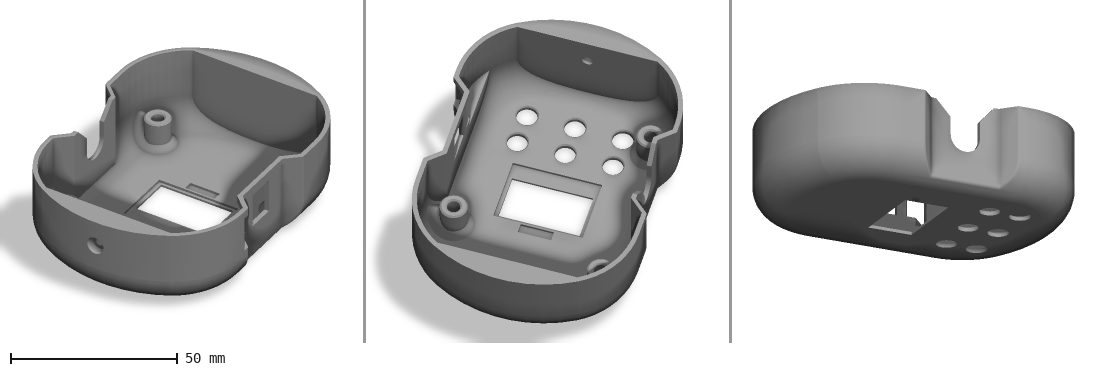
import cadquery as cq
import math

width = 70.0
length = 97.5
height = 27.0
wall = 1.5
corner_radius = 25.0
end_radius = 45.0
floor_round = 10.0

waist_y = -2.65
waist_depth = 4.7
waist_inner_half_length = 11.9
waist_flare = 4.3
waist_edge_round = 1.0
thin_waist_step = 0.5

end_wall_y = 41.3
shelf_height = 10.0

slot_width = 9.7
slot_bottom_z = 11.4
slot_mouth_z = 21.8
slot_mouth_half_width = 9.7

windows = [
    ((-8.4, 1.0), (12.4, 23.8)),
    ((-20.4, -12.1), (12.55, 24.5)),
]
window_bevel_depth = 0.85

display_x = (-12.75, 12.75)
display_y = (-5.4, 8.9)
display_recess_x = (-14.0, 14.0)
display_recess_y = (-10.4, 9.8)
ribbon_recess_x = (-5.2, 5.2)
ribbon_recess_y = (10.4, 13.4)
recess_depth = 0.8

button_pitch_x = 15.0
button_columns = 3
button_rows = [(-18.2, 6.3), (-28.2, 6.5)]
button_chamfer = 0.4

posts = [
    (-24.5, 25.7, 2.0),
    (24.5, 16.2, 2.12),
    (-24.5, -25.5, 2.0),
]
post_diameter = 8.4
post_hole_diameter = 4.0
post_root_z = 1.3
post_top_z = 11.0
post_rim_chamfer = 0.5
foot_overlap = 0.6
foot_points = 24

end_hole_z = 18.4
end_hole_diameter = 3.4
end_bore_diameter = 5.8
end_bore_depth = 3.0

half_width = width / 2
half_length = length / 2
corner_x = half_width - corner_radius
arc_join_angle = math.asin(corner_x / (end_radius - corner_radius))
end_center_y = half_length - end_radius
corner_y = end_center_y + (end_radius - corner_radius) * math.cos(arc_join_angle)
waist_outer_x = half_width - waist_depth
waist_inner_x = waist_outer_x - wall
over = 1.0
edge_margin = 0.4


def box(x_span, y_span, z_span):
    """Axis-aligned box from three (low, high) spans."""
    return cq.Workplane("XY").box(
        x_span[1] - x_span[0], y_span[1] - y_span[0], z_span[1] - z_span[0], centered=False
    ).translate((x_span[0], y_span[0], z_span[0]))


def on_arc(center_x, center_y, radius, angle):
    """Point on an arc, with the angle measured from +Y towards +X."""
    return (center_x + radius * math.sin(angle), center_y + radius * math.cos(angle))


def rounded_tub(offset, z_bottom, z_top):
    """Solid of the outline shrunk by offset, with its bottom edge rounded."""
    side = half_width - offset
    corner = corner_radius - offset
    end = end_radius - offset
    join_x, join_y = on_arc(corner_x, corner_y, corner, arc_join_angle)
    mid_x, mid_y = on_arc(corner_x, corner_y, corner, (arc_join_angle + math.pi / 2) / 2)
    tip_y = half_length - offset
    return (
        cq.Workplane("XY", origin=(0, 0, z_bottom))
        .moveTo(side, -corner_y)
        .lineTo(side, corner_y)
        .threePointArc((mid_x, mid_y), (join_x, join_y))
        .threePointArc((0, tip_y), (-join_x, join_y))
        .threePointArc((-mid_x, mid_y), (-side, corner_y))
        .lineTo(-side, -corner_y)
        .threePointArc((-mid_x, -mid_y), (-join_x, -join_y))
        .threePointArc((0, -tip_y), (join_x, -join_y))
        .threePointArc((mid_x, -mid_y), (side, -corner_y))
        .close()
        .extrude(z_top - z_bottom)
        .faces("<Z").edges().fillet(floor_round - offset)
    )


def waist_prism(side, floor_x, half_length_at_floor, trim=0.0):
    """Flared prism beyond floor_x on one side (+1 or -1), with its +Y end trimmed."""
    reach = half_width + over
    half_length_at_reach = half_length_at_floor + (reach - floor_x) * waist_flare / waist_depth
    return (
        cq.Workplane("XY", origin=(0, waist_y, -over))
        .polyline([
            (side * floor_x, -half_length_at_floor),
            (side * floor_x, half_length_at_floor - trim),
            (side * reach, half_length_at_reach - trim),
            (side * reach, -half_length_at_reach),
        ])
        .close()
        .extrude(height + 2 * over)
    )


def make_outer():
    """Outer solid with both waists cut in and their edges rounded."""
    slope = waist_flare / waist_depth
    outer_half_length = waist_inner_half_length + wall * (slope - math.hypot(1, slope))
    solid = rounded_tub(0, 0, height)
    for side in (1, -1):
        solid = solid.cut(waist_prism(side, waist_outer_x, outer_half_length))
    rim_half_length = outer_half_length + waist_flare
    for side in (1, -1):
        near_x, far_x = sorted((side * (waist_outer_x - edge_margin), side * (half_width + edge_margin)))
        waist_edges = cq.selectors.BoxSelector(
            (near_x, waist_y - rim_half_length - edge_margin, 0),
            (far_x, waist_y + rim_half_length + edge_margin, height - edge_margin),
        )
        solid = solid.edges(waist_edges).fillet(waist_edge_round)
    return solid


def make_cavity():
    """Inside space of the shell, before the posts are added."""
    cavity = rounded_tub(wall, wall, height + over)
    for side, trim in ((1, 0), (-1, thin_waist_step)):
        cavity = cavity.cut(waist_prism(side, waist_inner_x, waist_inner_half_length, trim))
    end_limits = box((-half_width, half_width), (-end_wall_y, end_wall_y), (0, height + 2 * over))
    shelf = box(
        (waist_inner_x, half_width), (-half_length, waist_y - waist_inner_half_length), (0, shelf_height)
    )
    return cavity.intersect(end_limits).cut(shelf)


def foot_line(x, y, foot_size, angle):
    """Ends of the slanted foot line at one angle around a post: on the post and on the shell.

    They are where a ball of radius foot_size touches the post and the inside of the shell.
    """
    post_radius = post_diameter / 2
    ball_x = x + (post_radius + foot_size) * math.cos(angle)
    ball_y = y + (post_radius + foot_size) * math.sin(angle)
    out_x = math.copysign(abs(ball_x) - corner_x, ball_x)
    out_y = math.copysign(max(abs(ball_y) - corner_y, 0), ball_y)
    out_length = math.hypot(out_x, out_y)
    past_floor = max(out_length - (corner_radius - floor_round), 0)
    ball_path_radius = floor_round - wall - foot_size
    drop = math.sqrt(ball_path_radius ** 2 - past_floor ** 2)
    ball_z = floor_round - drop
    post_point = cq.Vector(x + post_radius * math.cos(angle), y + post_radius * math.sin(angle), ball_z)
    step = foot_size / ball_path_radius
    shell_point = cq.Vector(
        ball_x + out_x / out_length * past_floor * step,
        ball_y + out_y / out_length * past_floor * step,
        ball_z - drop * step,
    )
    return post_point, shell_point


def make_foot(x, y, foot_size):
    """Flared foot of a post, running slightly into the post and into the shell."""
    tops = []
    toes = []
    roots = []
    root_radius = post_diameter / 2 - foot_overlap
    for index in range(foot_points):
        angle = 2 * math.pi * index / foot_points
        post_point, shell_point = foot_line(x, y, foot_size, angle)
        overlap = (shell_point - post_point).normalized() * foot_overlap
        tops.append(post_point - overlap)
        toes.append(shell_point + overlap)
        roots.append(
            cq.Vector(x + root_radius * math.cos(angle), y + root_radius * math.sin(angle), post_root_z)
        )
    top, toe, root = [cq.Edge.makeSpline(ring, periodic=True) for ring in (tops, toes, roots)]
    sides = [cq.Face.makeRuledSurface(a, b) for a, b in ((top, toe), (toe, root), (root, top))]
    return cq.Workplane(cq.Solid.makeSolid(cq.Shell.makeShell(sides)))


def add_posts(shell):
    """Screw posts with a flared foot, each drilled down to the floor surface."""
    body = shell
    bore_radius = post_hole_diameter / 2
    for x, y, foot_size in posts:
        axis = cq.Workplane("XY", origin=(x, y, post_root_z))
        post = (
            axis.circle(post_diameter / 2)
            .extrude(post_top_z - post_root_z)
            .faces(">Z").edges().chamfer(post_rim_chamfer)
        )
        bore = axis.circle(bore_radius).extrude(post_top_z - post_root_z).cut(shell)
        mouth = cq.Workplane(cq.Solid.makeCone(
            bore_radius,
            bore_radius + post_rim_chamfer,
            post_rim_chamfer,
            cq.Vector(x, y, post_top_z - post_rim_chamfer),
        ))
        foot = make_foot(x, y, foot_size)
        body = body.union(post).union(foot).cut(bore).cut(mouth)
    return body


def cut_floor_openings(body):
    """Display opening, recesses and button holes in the floor."""
    recess_z = (wall - recess_depth, wall)
    body = body.cut(box(display_x, display_y, (-over, wall)))
    body = body.cut(box(display_recess_x, display_recess_y, recess_z))
    body = body.cut(box(ribbon_recess_x, ribbon_recess_y, recess_z))
    for row_y, diameter in button_rows:
        for column in range(button_columns):
            x = (column - (button_columns - 1) / 2) * button_pitch_x
            radius = diameter / 2
            hole = (
                cq.Workplane("XZ", origin=(x, row_y, 0))
                .polyline([
                    (0, -over),
                    (radius, -over),
                    (radius, wall - button_chamfer),
                    (radius + button_chamfer, wall),
                    (0, wall),
                ])
                .close()
                .revolve(360, (0, 0, 0), (0, 1, 0))
            )
            body = body.cut(hole)
    return body


def cut_cable_slot(body):
    """Round-bottomed slot with a flared mouth through the -X waist wall."""
    radius = slot_width / 2
    slot = (
        cq.Workplane("YZ", origin=(-half_width, waist_y, 0))
        .moveTo(-slot_mouth_half_width, height)
        .lineTo(-radius, slot_mouth_z)
        .lineTo(-radius, slot_bottom_z + radius)
        .threePointArc((0, slot_bottom_z), (radius, slot_bottom_z + radius))
        .lineTo(radius, slot_mouth_z)
        .lineTo(slot_mouth_half_width, height)
        .close()
        .extrude(half_width - waist_inner_x + over)
    )
    return body.cut(slot)


def cut_windows(body):
    """Rectangular windows through the +X side wall, one with a bevelled inner edge."""
    for y_span, z_span in windows:
        body = body.cut(box((waist_inner_x - over, half_width + over), y_span, z_span))
    (_, edge_y), (bottom_z, top_z) = windows[1]
    bevel_width = window_bevel_depth * waist_flare / waist_depth
    bevel = (
        cq.Workplane("XY", origin=(waist_inner_x, edge_y, bottom_z))
        .polyline([(0, 0), (window_bevel_depth, 0), (0, bevel_width)])
        .close()
        .extrude(top_z - bottom_z)
    )
    return body.cut(bevel)


def cut_end_hole(body):
    """Counterbored hole through the solid -Y end."""
    outside = cq.Workplane("XZ", origin=(0, -half_length, end_hole_z))
    hole = outside.circle(end_hole_diameter / 2).extrude(end_wall_y - half_length - over)
    bore = outside.circle(end_bore_diameter / 2).extrude(-end_bore_depth)
    return body.cut(hole).cut(bore)


result = make_outer().cut(make_cavity())
result = add_posts(result)
result = cut_floor_openings(result)
result = cut_cable_slot(result)
result = cut_windows(result)
result = cut_end_hole(result)